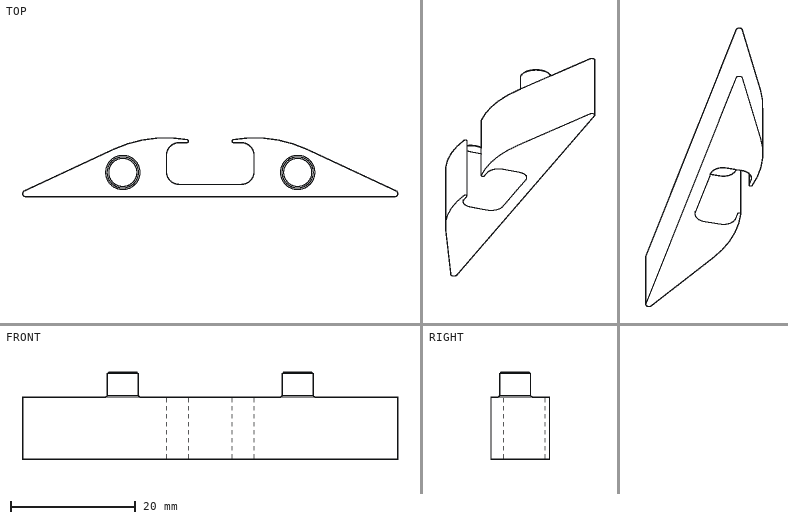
import cadquery as cq
import math

total_length = 60.17
body_depth = 9.47
body_height = 10.0
tip_radius = 0.5
crown_radius = 20.0
crown_x = 7.1

channel_width = 14.0
channel_floor = 2.0
channel_corner_radius = 2.0
lip_underside = 8.65
lip_gap = 7.0
lip_edge_radius = 0.24

pin_diameter = 5.0
pin_spacing = 28.03
pin_offset_y = 3.9
pin_top = 14.0
pin_edge_chamfer = 0.25
flare_diameter = 5.5

tip_x = total_length / 2 - tip_radius
tip_y = tip_radius
crown_y = body_depth - crown_radius


def arc_point(center_x, center_y, radius, angle):
    return (center_x + radius * math.cos(angle), center_y + radius * math.sin(angle))


def make_body():
    center_distance = math.hypot(tip_x - crown_x, tip_y - crown_y)
    center_line_angle = math.atan2(tip_y - crown_y, tip_x - crown_x)
    flank_normal = center_line_angle + math.acos((crown_radius - tip_radius) / center_distance)
    lip_angle = math.acos((lip_gap / 2 - crown_x) / crown_radius)

    tip_start = (tip_x, 0)
    tip_middle = arc_point(tip_x, tip_y, tip_radius, (flank_normal - math.pi / 2) / 2)
    tip_end = arc_point(tip_x, tip_y, tip_radius, flank_normal)
    crown_start = arc_point(crown_x, crown_y, crown_radius, flank_normal)
    crown_middle = arc_point(crown_x, crown_y, crown_radius, (flank_normal + lip_angle) / 2)
    lip_end = arc_point(crown_x, crown_y, crown_radius, lip_angle)

    half = (
        cq.Workplane("XY")
        .lineTo(*tip_start)
        .threePointArc(tip_middle, tip_end)
        .lineTo(*crown_start)
        .threePointArc(crown_middle, lip_end)
        .lineTo(0, lip_end[1])
        .close()
        .extrude(body_height)
    )
    return half.union(half.mirror("YZ"))


def cut_channel(body):
    channel = (
        cq.Workplane("XY")
        .center(0, (channel_floor + lip_underside) / 2)
        .rect(channel_width, lip_underside - channel_floor)
        .extrude(body_height)
        .edges("|Z")
        .fillet(channel_corner_radius)
    )
    mouth_depth = body_depth - channel_floor - channel_corner_radius
    mouth = (
        cq.Workplane("XY")
        .center(0, body_depth - mouth_depth / 2)
        .rect(lip_gap, mouth_depth)
        .extrude(body_height)
    )
    return body.cut(channel).cut(mouth)


def round_lips(body):
    lip_zone = cq.selectors.BoxSelector(
        (-lip_gap / 2 - lip_edge_radius, lip_underside - lip_edge_radius, 0),
        (lip_gap / 2 + lip_edge_radius, body_depth, body_height),
    )
    return body.edges("|Z").edges(lip_zone).fillet(lip_edge_radius)


def add_pins(body):
    pin_radius = pin_diameter / 2
    flare_radius = flare_diameter / 2
    flare_height = flare_radius - pin_radius
    pin = (
        cq.Workplane("XZ")
        .moveTo(0, body_height)
        .lineTo(flare_radius, body_height)
        .lineTo(pin_radius, body_height + flare_height)
        .lineTo(pin_radius, pin_top - pin_edge_chamfer)
        .lineTo(pin_radius - pin_edge_chamfer, pin_top)
        .lineTo(0, pin_top)
        .close()
        .revolve(360, (0, 0, 0), (0, 1, 0))
    )
    for pin_x in (-pin_spacing / 2, pin_spacing / 2):
        body = body.union(pin.translate((pin_x, pin_offset_y, 0)))
    return body


result = add_pins(round_lips(cut_channel(make_body())))